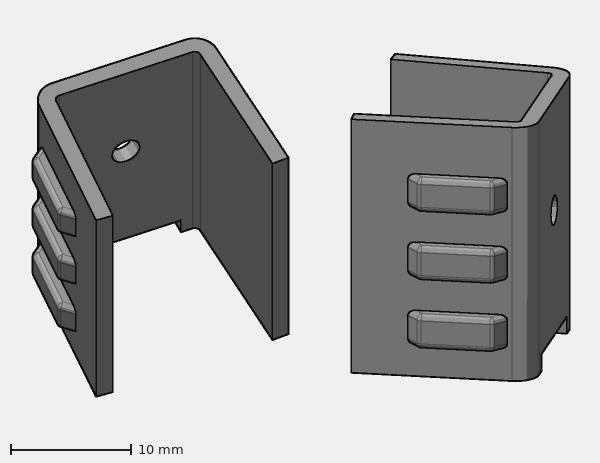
import cadquery as cq
import math

length_x = 15.5
height = 22.3
sheet = 1.5
bend_outer_radius = 2.0
bend_inner_radius = bend_outer_radius - sheet
bend_center_x = bend_outer_radius
bend_center_y = 6.035
splay_angle = 3.0

hole_diameter = 2.5
hole_z = 12.5
notch_width = 10.0
notch_height = 1.5

rib_start = 0.37
rib_length = 8.38
rib_rise = 1.2
rib_end_angle = 48.3
rib_width = 3.0
rib_fillet = 0.5
rib_embed = 0.5
first_rib_z = 4.3
rib_pitch = 6.0
rib_count = 3

splay = math.radians(splay_angle)


def arm_point(along, outward):
    """XY point of the +Y arm: distance along it from the bend, distance out from the bend center."""
    x = bend_center_x + along * math.cos(splay) - outward * math.sin(splay)
    y = bend_center_y + along * math.sin(splay) + outward * math.cos(splay)
    return (x, y)


def bend_middle(radius):
    """Point halfway round a bend of the +Y arm, between the web and arm tangents."""
    middle = (math.pi + math.pi / 2 + splay) / 2
    x = bend_center_x + radius * math.cos(middle)
    y = bend_center_y + radius * math.sin(middle)
    return (x, y)


def mirrored(point):
    return (point[0], -point[1])


def make_channel():
    reach = length_x - bend_center_x + bend_inner_radius * math.sin(splay)
    arm_length = reach / math.cos(splay)
    outer_tangent = arm_point(0, bend_outer_radius)
    outer_tip = arm_point(arm_length, bend_outer_radius)
    inner_tip = arm_point(arm_length, bend_inner_radius)
    inner_tangent = arm_point(0, bend_inner_radius)
    web_outer = (0, bend_center_y)
    web_inner = (sheet, bend_center_y)
    outer_bend = bend_middle(bend_outer_radius)
    inner_bend = bend_middle(bend_inner_radius)
    return (
        cq.Workplane("XY")
        .moveTo(*mirrored(web_outer))
        .lineTo(*web_outer)
        .threePointArc(outer_bend, outer_tangent)
        .lineTo(*outer_tip)
        .lineTo(*inner_tip)
        .lineTo(*inner_tangent)
        .threePointArc(inner_bend, web_inner)
        .lineTo(*mirrored(web_inner))
        .threePointArc(mirrored(inner_bend), mirrored(inner_tangent))
        .lineTo(*mirrored(inner_tip))
        .lineTo(*mirrored(outer_tip))
        .lineTo(*mirrored(outer_tangent))
        .threePointArc(mirrored(outer_bend), mirrored(web_outer))
        .close()
        .extrude(height)
    )


def make_rib(center_z):
    """Rib with sloped ends on the +Y arm, rounded everywhere but at its buried root."""
    slope = 1 / math.tan(math.radians(rib_end_angle))
    rib_end = rib_start + rib_length
    root = bend_outer_radius - rib_embed
    crest = bend_outer_radius + rib_rise
    outline = [
        arm_point(rib_start - rib_embed * slope, root),
        arm_point(rib_start + rib_rise * slope, crest),
        arm_point(rib_end - rib_rise * slope, crest),
        arm_point(rib_end + rib_embed * slope, root),
    ]
    rib = (
        cq.Workplane("XY")
        .workplane(offset=center_z - rib_width / 2)
        .polyline(outline)
        .close()
        .extrude(rib_width)
    )
    inward = cq.Vector(math.sin(splay), -math.cos(splay), 0)
    root_side = cq.selectors.DirectionMinMaxSelector(inward, True)
    root_edges = rib.faces(root_side).edges().vals()
    free_edges = [
        edge for edge in rib.edges().vals()
        if not any(edge.isSame(root_edge) for root_edge in root_edges)
    ]
    return rib.newObject(free_edges).fillet(rib_fillet)


def add_ribs(body):
    for index in range(rib_count):
        rib = make_rib(first_rib_z + index * rib_pitch)
        body = body.union(rib).union(rib.mirror("XZ"))
    return body


def cut_web(body):
    hole = (
        cq.Workplane("YZ")
        .center(0, hole_z)
        .circle(hole_diameter / 2)
        .extrude(sheet)
    )
    notch = cq.Workplane("XY").box(sheet, notch_width, notch_height, centered=(False, True, False))
    return body.cut(hole).cut(notch)


result = cut_web(add_ribs(make_channel()))